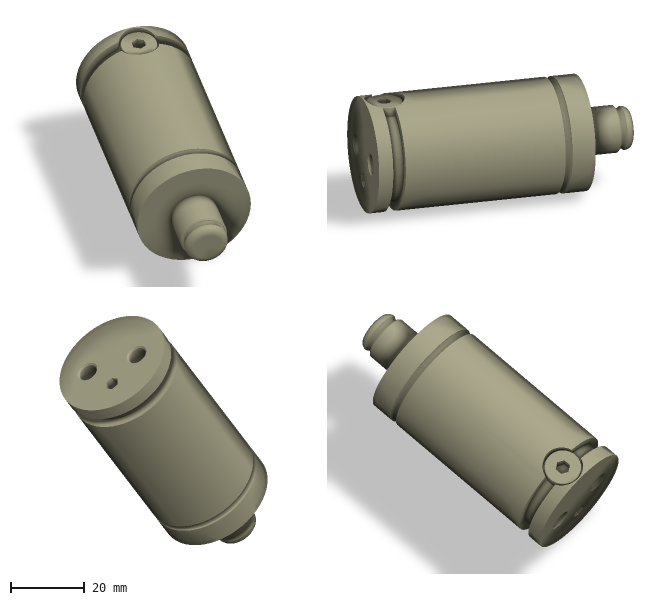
import cadquery as cq
import math

body_radius = 32.0 / 2
body_length = 61.0
clamp_groove_start = 4.0
clamp_groove_end = 7.5
clamp_groove_radius = 13.5
round_groove_x = 53.5
round_groove_radius = 1.0

total_length = 75.0
rod_radius = 6.5
rod_shoulder_x = 71.0
rod_chamfer = 0.4
head_radius = 6.0
head_rounding = 2.0
neck_radius = 5.55
neck_end_x = 72.75

plug_x = 5.9
plug_radius = 4.95
plug_chamfer = 0.15
plug_top_z = 15.0
counterbore_radius = 5.51
counterbore_floor_z = 12.3

socket_across_flats = 3.5
socket_depth = 3.0
end_socket_z = -7.5

mount_hole_y = 7.5
mount_hole_radius = 2.55
mount_hole_mouth_radius = 3.0
mount_hole_depth = 10.0
drill_tip_angle = 118.0


def make_turned_body():
    """Revolve the half outline of the body, rod and rounded rod head."""
    neck_middle_x = (rod_shoulder_x + neck_end_x) / 2
    rounding_x = total_length - head_rounding
    rounding_radius = head_radius - head_rounding
    diagonal = head_rounding * math.sqrt(0.5)
    outline = (
        cq.Workplane("XY")
        .lineTo(0, body_radius)
        .lineTo(clamp_groove_start, body_radius)
        .lineTo(clamp_groove_start, clamp_groove_radius)
        .lineTo(clamp_groove_end, clamp_groove_radius)
        .lineTo(clamp_groove_end, body_radius)
        .lineTo(round_groove_x - round_groove_radius, body_radius)
        .threePointArc(
            (round_groove_x, body_radius - round_groove_radius),
            (round_groove_x + round_groove_radius, body_radius),
        )
        .lineTo(body_length, body_radius)
        .lineTo(body_length, rod_radius)
        .lineTo(rod_shoulder_x - rod_chamfer, rod_radius)
        .lineTo(rod_shoulder_x, rod_radius - rod_chamfer)
        .lineTo(rod_shoulder_x, head_radius)
        .threePointArc((neck_middle_x, neck_radius), (neck_end_x, head_radius))
        .lineTo(rounding_x, head_radius)
        .threePointArc(
            (rounding_x + diagonal, rounding_radius + diagonal),
            (total_length, rounding_radius),
        )
        .lineTo(total_length, 0)
        .close()
    )
    return outline.revolve(360, (0, 0, 0), (1, 0, 0))


def make_counterbore():
    return (
        cq.Workplane("XY", origin=(plug_x, 0, counterbore_floor_z))
        .circle(counterbore_radius)
        .extrude(body_radius - counterbore_floor_z)
    )


def make_plug():
    return (
        cq.Workplane("XY", origin=(plug_x, 0, counterbore_floor_z))
        .circle(plug_radius)
        .extrude(plug_top_z - counterbore_floor_z)
        .faces(">Z")
        .chamfer(plug_chamfer)
    )


def make_socket(mouth_plane):
    """Hexagonal recess running inward, against the normal of its mouth plane."""
    across_corners = socket_across_flats / math.cos(math.pi / 6)
    return cq.Workplane(mouth_plane).polygon(6, across_corners).extrude(-socket_depth)


def make_mount_hole(y):
    """Blind drilled hole along X with a chamfered mouth and a conical bottom."""
    mouth_depth = mount_hole_mouth_radius - mount_hole_radius
    tip_length = mount_hole_radius / math.tan(math.radians(drill_tip_angle / 2))
    return (
        cq.Workplane("XY", origin=(0, y, 0))
        .lineTo(0, mount_hole_mouth_radius)
        .lineTo(mouth_depth, mount_hole_radius)
        .lineTo(mount_hole_depth, mount_hole_radius)
        .lineTo(mount_hole_depth + tip_length, 0)
        .close()
        .revolve(360, (0, 0, 0), (1, 0, 0))
    )


plug_socket_plane = cq.Plane(origin=(plug_x, 0, plug_top_z), xDir=(1, 0, 0), normal=(0, 0, 1))
end_socket_plane = cq.Plane(origin=(0, 0, end_socket_z), xDir=(0, 0, 1), normal=(-1, 0, 0))

result = make_turned_body().cut(make_counterbore()).union(make_plug())
for socket_plane in (plug_socket_plane, end_socket_plane):
    result = result.cut(make_socket(socket_plane))
for hole_y in (-mount_hole_y, mount_hole_y):
    result = result.cut(make_mount_hole(hole_y))